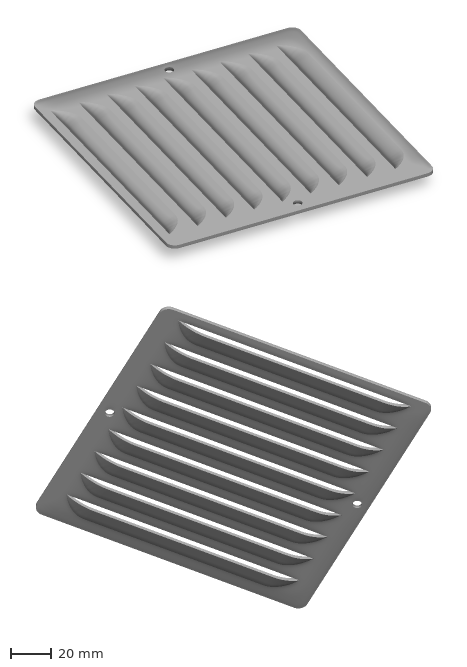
import cadquery as cq
import math

plate_size = 150.0
sheet_thickness = 2.0
corner_radius = 5.0

hole_diameter = 4.8
hole_edge_distance = 6.3

louvre_count = 9
row_span = 127.5
first_mouth_y = 57.6
louvre_run = 10.8
total_depth = 7.0
mouth_half_length = 64.0
flat_half_length = 49.6

louvre_pitch = row_span / (louvre_count - 1)
louvre_drop = total_depth - sheet_thickness
slot_end_width = mouth_half_length - flat_half_length

inner_radius = (slot_end_width**2 + louvre_drop**2) / (2 * louvre_drop)
outer_radius = inner_radius + sheet_thickness


def make_plate():
    plate = cq.Workplane("XY").rect(plate_size, plate_size).extrude(-sheet_thickness)
    plate = plate.edges("|Z").fillet(corner_radius)
    hole_x = plate_size / 2 - hole_edge_distance
    return plate.faces(">Z").workplane().pushPoints([(-hole_x, 0), (hole_x, 0)]).hole(hole_diameter)


def arc_width(radius, height):
    """Sideways reach of an arc, from its lowest point up to the given height."""
    return math.sqrt(2 * radius * height - height**2)


def trough(mouth_y, top_z, end_radius):
    """Flat-bottomed trough with round ends, rising along +Y until its floor reaches top_z."""
    floor_z = top_z - louvre_drop
    mid_height = louvre_drop / 4
    mid_x = flat_half_length + arc_width(end_radius, mid_height)
    mid_z = floor_z + mid_height
    end_x = flat_half_length + arc_width(end_radius, louvre_drop)
    section = (
        cq.Workplane("XZ", origin=(0, mouth_y, 0))
        .moveTo(-end_x, top_z)
        .threePointArc((-mid_x, mid_z), (-flat_half_length, floor_z))
        .lineTo(flat_half_length, floor_z)
        .threePointArc((mid_x, mid_z), (end_x, top_z))
        .close()
    )
    face = cq.Face.makeFromWires(section.val())
    slope = cq.Vector(0, louvre_run, louvre_drop)
    return cq.Workplane(cq.Solid.extrudeLinear(face, slope))


below_top = cq.Workplane("XY").box(plate_size, plate_size, total_depth, centered=(True, True, False))
below_top = below_top.translate((0, 0, -total_depth))

result = make_plate()
for row in range(louvre_count):
    row_mouth_y = first_mouth_y - row * louvre_pitch
    blade = trough(row_mouth_y, -sheet_thickness, outer_radius).intersect(below_top)
    opening = trough(row_mouth_y, 0, inner_radius)
    result = result.union(blade).cut(opening)